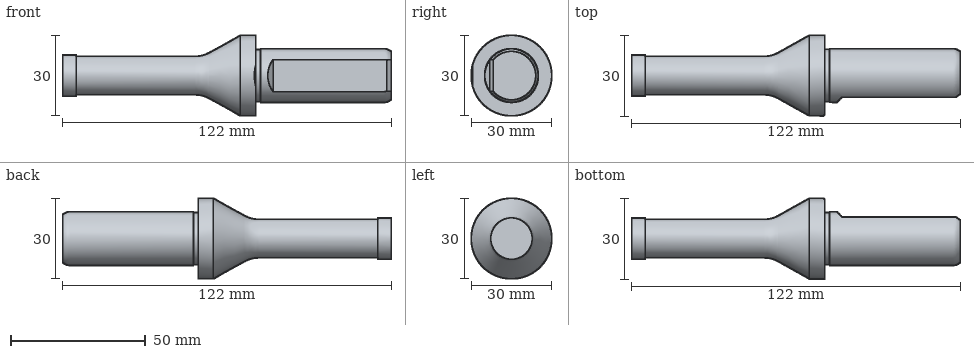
import cadquery as cq
import math

length = 122.0
tip_end = 5.0
neck_end = 49.3
flange_start = 66.0
flange_end = 71.7
relief_end = 73.3

tip_radius = 7.7
neck_radius = 7.2
flange_radius = 15.0
relief_radius = 9.8
shank_radius = 10.0

blend_length = 5.1
cone_angle = math.radians(29)

shank_lead_in = 0.2
end_taper_angle = math.radians(30)
end_taper_length = 1.1
end_round_length = 1.5

flat_distance = 8.0
flat_start = 78.0
flat_chamfer_length = 1.7
flat_chamfer_depth = 1.2


def make_body():
    """Revolve the half profile about the X axis."""
    blend_radius = blend_length / math.sin(cone_angle)

    def blend_point(angle):
        x = neck_end + blend_radius * math.sin(angle)
        r = neck_radius + blend_radius * (1 - math.cos(angle))
        return (x, r)

    round_radius = end_round_length / math.sin(end_taper_angle)
    round_start = length - end_taper_length - end_round_length

    def end_round_point(angle):
        x = round_start + round_radius * math.sin(angle)
        r = shank_radius - round_radius * (1 - math.cos(angle))
        return (x, r)

    taper_radius = end_round_point(end_taper_angle)[1]
    end_face_radius = taper_radius - end_taper_length * math.tan(end_taper_angle)

    profile = (
        cq.Workplane("XY")
        .moveTo(0, 0)
        .lineTo(0, tip_radius)
        .lineTo(tip_end, tip_radius)
        .lineTo(tip_end, neck_radius)
        .lineTo(neck_end, neck_radius)
        .threePointArc(blend_point(cone_angle / 2), blend_point(cone_angle))
        .lineTo(flange_start, flange_radius)
        .lineTo(flange_end, flange_radius)
        .lineTo(flange_end, relief_radius)
        .lineTo(relief_end, relief_radius)
        .lineTo(relief_end + shank_lead_in, shank_radius)
        .lineTo(round_start, shank_radius)
        .threePointArc(end_round_point(end_taper_angle / 2), end_round_point(end_taper_angle))
        .lineTo(length, end_face_radius)
        .lineTo(length, 0)
        .close()
    )
    return profile.revolve(360, (0, 0, 0), (1, 0, 0))


def make_flat_cutter():
    """Prism removing the shank side beyond the flat and its end chamfer."""
    cutter_depth = flange_radius - flat_distance
    return (
        cq.Workplane("XY")
        .moveTo(flat_start, -flat_distance)
        .lineTo(length - flat_chamfer_length, -flat_distance)
        .lineTo(length, flat_chamfer_depth - flat_distance)
        .lineTo(length, -flange_radius)
        .lineTo(flat_start - cutter_depth, -flange_radius)
        .close()
        .extrude(flange_radius, both=True)
    )


result = make_body().cut(make_flat_cutter())